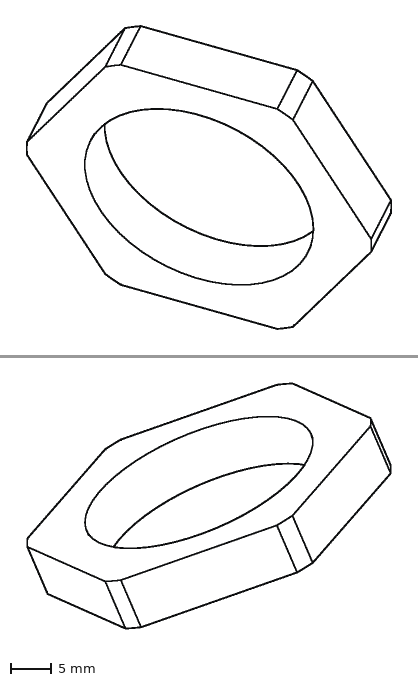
import cadquery as cq
import math

outer_diameter = 46.0
across_flats = 41.0
thickness = 7.0
bore_diameter = 30.5

HEX_SIDES = 6


def hexagon_prism():
    """Sharp-cornered hexagon with corners on the X axis, centred on Y = 0."""
    corner_diameter = across_flats / math.cos(math.pi / HEX_SIDES)
    profile = cq.Workplane("XZ").polygon(HEX_SIDES, corner_diameter)
    return profile.extrude(thickness / 2, both=True)


def cylinder_along_y(diameter):
    """Cylinder through the full thickness, centred on the origin."""
    return cq.Workplane("XZ").circle(diameter / 2).extrude(thickness / 2, both=True)


nut_blank = hexagon_prism().intersect(cylinder_along_y(outer_diameter))

result = nut_blank.cut(cylinder_along_y(bore_diameter))